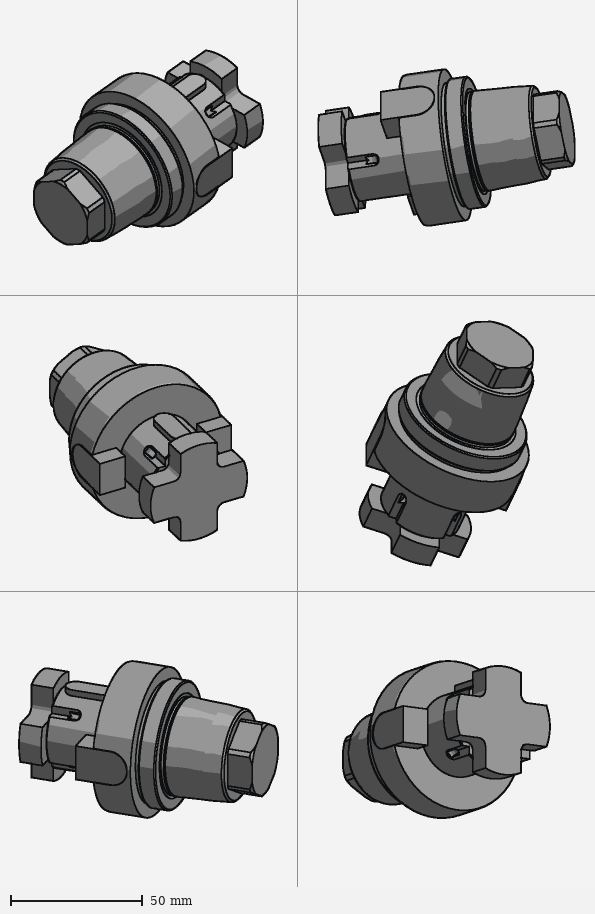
import cadquery as cq
import math


cross_radius = 21.0
cross_length = 9.0
arm_half_width = 8.0
arm_fillet = 3.0

shank_radius = 16.0
shank_chamfer = 0.4

notch_corner = 9.6
notch_straight_end = 19.0

pocket_radius = 2.35
pocket_width = 2.8
pocket_centre = 18.5
pocket_centre_radius = 15.4

key_width = 8.0
key_length = 20.0
key_start = 11.0
key_top = 18.0

flange_radius = 29.0
flange_start = 33.0
flange_end = 48.5
flange_chamfer_length = 0.9
flange_chamfer_depth = 0.25

lug_width = 14.0
lug_start = 26.0
lug_end = 47.0
lug_inner = 17.5
lug_outer = 28.5

neck_radius = 23.75
collar_radius = 25.0
collar_start = 50.0
collar_end = 57.0
collar_chamfer = 0.55

recess_outer_radius = 20.3
recess_depth = 0.4
relief_radius = 19.0
groove_radius = 18.85
groove_start = 57.4
groove_bottom = 58.0
groove_end = 58.2
nose_start = 58.8
nose_start_radius = 19.25
nose_break = 74.0
nose_break_radius = 18.55
nose_end = 82.0
nose_end_radius = 17.95
nose_chamfer = 0.8

hex_sides = 6
hex_across_flats = 27.0
hex_corner_radius = 15.05
hex_end = 92.0
hex_chamfer_length = 1.0
hex_chamfer_depth = 1.1


def disc_profile(points):
    """Revolve (radius, distance from the rear) points about the Y axis."""
    outline = [(radius, -distance) for radius, distance in points]
    return cq.Workplane("XY").polyline(outline).close().revolve(360, (0, 0, 0), (0, 1, 0))


def along_axis(start):
    """XZ workplane at a distance from the rear; extrusions run towards the hex end."""
    return cq.Workplane("XZ", origin=(0, -start, 0))


def make_body():
    return disc_profile([
        (0, cross_length),
        (shank_radius - shank_chamfer, cross_length),
        (shank_radius, cross_length + shank_chamfer),
        (shank_radius, flange_start),
        (flange_radius - flange_chamfer_depth, flange_start),
        (flange_radius, flange_start + flange_chamfer_length),
        (flange_radius, flange_end),
        (neck_radius, flange_end),
        (neck_radius, collar_start),
        (collar_radius - collar_chamfer, collar_start),
        (collar_radius, collar_start + collar_chamfer),
        (collar_radius, collar_end - collar_chamfer),
        (collar_radius - collar_chamfer, collar_end),
        (relief_radius, collar_end),
        (relief_radius, groove_start),
        (groove_radius, groove_bottom),
        (relief_radius, groove_end),
        (relief_radius, nose_start),
        (nose_start_radius, nose_start),
        (nose_break_radius, nose_break),
        (nose_end_radius, nose_end - nose_chamfer),
        (nose_end_radius - nose_chamfer, nose_end),
        (0, nose_end),
    ])


def make_face_recess():
    """Ring with an arc-shaped section, sunk into the front face of the collar."""
    middle_radius = (recess_outer_radius + relief_radius) / 2
    return (
        cq.Workplane("XY")
        .moveTo(relief_radius, -collar_end)
        .threePointArc((middle_radius, -collar_end + recess_depth), (recess_outer_radius, -collar_end))
        .close()
        .revolve(360, (0, 0, 0), (0, 1, 0))
    )


def make_cross():
    arm_size = (2 * cross_radius, 2 * arm_half_width)
    arms = along_axis(0).rect(*arm_size).extrude(cross_length)
    arms = arms.union(along_axis(0).rect(*reversed(arm_size)).extrude(cross_length))
    corner_reach = arm_half_width + arm_fillet
    inner_corner = cq.selectors.BoxSelector(
        (-corner_reach, -cross_length, -corner_reach),
        (corner_reach, 0, corner_reach),
    )
    arms = arms.edges("|Y").edges(inner_corner).fillet(arm_fillet)
    return arms.intersect(along_axis(0).circle(cross_radius).extrude(cross_length))


def make_notch():
    """Right-angled notch in the +X +Z quadrant, closed by half of a matching cone."""
    notch_length = notch_straight_end - cross_length
    size = shank_radius - notch_corner
    straight = along_axis(cross_length).rect(size, size, centered=False).extrude(notch_length)
    straight = straight.translate((notch_corner, 0, notch_corner))
    tip = cq.Vector(notch_corner, -notch_straight_end, notch_corner)
    cone = cq.Workplane(obj=cq.Solid.makeCone(0, size, size, tip, cq.Vector(1, 0, 1)))
    return straight.union(cone)


def make_pocket():
    """Round pocket in the +X +Z quadrant, with its axis tangential to the shank."""
    pocket = cq.Workplane("XY").circle(pocket_radius).extrude(pocket_width / 2, both=True)
    pocket = pocket.translate((pocket_centre_radius, -pocket_centre, 0))
    return pocket.rotate((0, 0, 0), (0, 1, 0), -45)


def make_key():
    centre = key_start + key_length / 2
    plane = cq.Workplane("XY", origin=(0, -centre, 0))
    return plane.slot2D(key_length, key_width, 90).extrude(key_top)


def lug_prism(inner, outer):
    """Lug outline, square at the rear and round at the front, between two X positions."""
    half_width = lug_width / 2
    return (
        cq.Workplane("YZ", origin=(inner, 0, 0))
        .moveTo(-lug_start, -half_width)
        .lineTo(-lug_end + half_width, -half_width)
        .threePointArc((-lug_end, 0), (-lug_end + half_width, half_width))
        .lineTo(-lug_start, half_width)
        .close()
        .extrude(outer - inner)
    )


def make_hexagon():
    half_side_angle = 180 / hex_sides
    across_corners = hex_across_flats / math.cos(math.radians(half_side_angle))
    length = hex_end - nose_end
    prism = along_axis(nose_end).polygon(hex_sides, across_corners).extrude(length)
    prism = prism.rotate((0, 0, 0), (0, 1, 0), half_side_angle)
    envelope = disc_profile([
        (0, nose_end),
        (hex_corner_radius, nose_end),
        (hex_corner_radius, hex_end - hex_chamfer_length),
        (hex_corner_radius - hex_chamfer_depth, hex_end),
        (0, hex_end),
    ])
    return prism.intersect(envelope)


body = make_body().cut(make_face_recess())
body = body.union(make_cross()).union(make_hexagon())

notch = make_notch().union(make_pocket())
for quadrant in range(4):
    body = body.cut(notch.rotate((0, 0, 0), (0, 1, 0), 90 * quadrant))

body = body.union(make_key())

lug = lug_prism(lug_inner, lug_outer)
lug_clearance = lug_prism(lug_outer, flange_radius)
for turn in (0, 180):
    body = body.cut(lug_clearance.rotate((0, 0, 0), (0, 1, 0), turn))
    body = body.union(lug.rotate((0, 0, 0), (0, 1, 0), turn))

result = body